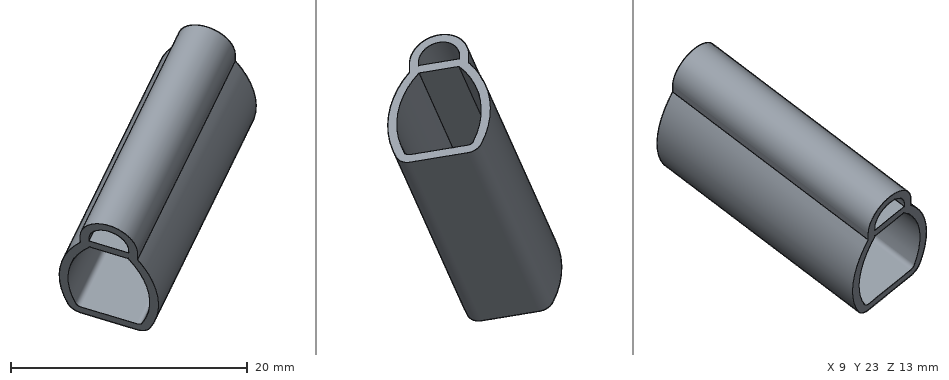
import cadquery as cq
import math


LENGTH = 23.0
HEIGHT = 13.0
BODY_WIDTH = 9.0
WALL = 0.8

LOOP_RADIUS = 2.6
SIDE_RADIUS = 8.3
SIDE_CENTER_Z = 4.25
CORNER_RADIUS = 1.3
PARTITION_BOTTOM_Z = 9.3

SIDE_CENTER_X = BODY_WIDTH / 2 - SIDE_RADIUS
LOOP_CENTER_Z = HEIGHT - LOOP_RADIUS
PARTITION_TOP_Z = PARTITION_BOTTOM_Z + WALL


def side_x(z, radius):
    """X of the right-hand side arc at height z."""
    return SIDE_CENTER_X + math.sqrt(radius**2 - (z - SIDE_CENTER_Z) ** 2)


def side_z(x, radius):
    """Z of the upper part of the right-hand side arc at position x."""
    return SIDE_CENTER_Z + math.sqrt(radius**2 - (x - SIDE_CENTER_X) ** 2)


def barrel(inset, top_z):
    """Body solid with its outline moved inward by inset and a flat top at top_z."""
    radius = SIDE_RADIUS - inset
    half_width = BODY_WIDTH / 2 - inset
    bottom_x = side_x(inset, radius)
    top_x = side_x(top_z, radius)
    return (
        cq.Workplane("XZ")
        .moveTo(-bottom_x, inset)
        .lineTo(bottom_x, inset)
        .threePointArc((half_width, SIDE_CENTER_Z), (top_x, top_z))
        .lineTo(-top_x, top_z)
        .threePointArc((-half_width, SIDE_CENTER_Z), (-bottom_x, inset))
        .close()
        .extrude(LENGTH / 2, both=True)
        .edges("|Y and <Z")
        .fillet(CORNER_RADIUS - inset)
    )


def arch(radius, bottom_z):
    """Loop solid: a half-round top on straight legs that reach down to bottom_z."""
    return (
        cq.Workplane("XZ")
        .moveTo(-radius, bottom_z)
        .lineTo(radius, bottom_z)
        .lineTo(radius, LOOP_CENTER_Z)
        .threePointArc((0, LOOP_CENTER_Z + radius), (-radius, LOOP_CENTER_Z))
        .close()
        .extrude(LENGTH / 2, both=True)
    )


shoulder_z = side_z(LOOP_RADIUS, SIDE_RADIUS)

outside = barrel(0, shoulder_z).union(arch(LOOP_RADIUS, PARTITION_BOTTOM_Z))
body_bore = barrel(WALL, PARTITION_BOTTOM_Z)
loop_bore = arch(LOOP_RADIUS - WALL, PARTITION_TOP_Z)

result = outside.cut(body_bore).cut(loop_bore)